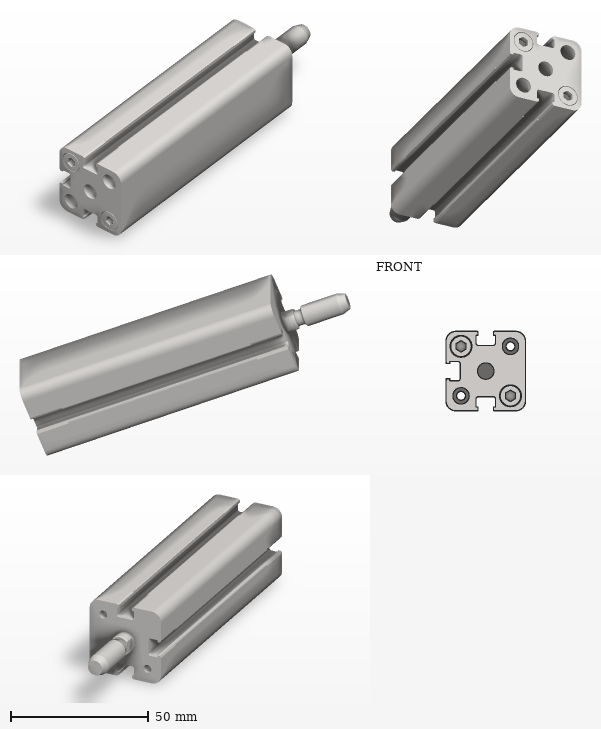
import cadquery as cq

total_length = 122.5
body_length = 98.0
body_width = 29.0
corner_radius = 3.7
cap_length = 12.2
barrel_length = body_length - 2 * cap_length
half_width = body_width / 2

slot_mouth_width = 5.5
slot_channel_width = 7.0
slot_depth = 5.1
slot_lip_thickness = 1.5
slot_floor_radius = 0.7
cap_lip_bevel_width = 0.7
cap_lip_bevel_height = 0.4
barrel_lip_bevel_width = 0.4
barrel_lip_bevel_height = 0.1
slot_angles = (0, 90, 180)

corner_spacing = 18.0
corner_offset = corner_spacing / 2
hole_diameter = 6.0
hole_depth = 9.8
through_diameter = 3.2
screw_head_diameter = 7.5
screw_recess_diameter = 8.0
screw_recess_depth = 3.5
hex_corner_diameter = 4.2
hex_depth = 2.5
hole_corners = [(corner_offset, corner_offset), (-corner_offset, -corner_offset)]
screw_corners = [(-corner_offset, corner_offset), (corner_offset, -corner_offset)]

center_hole_diameter = 6.0
center_hole_depth = 9.8

rod_diameter = 8.0
neck_diameter = 5.8
shoulder_end = 102.5
shoulder_taper_length = 0.5
shoulder_taper_depth = 0.18
thread_start = 105.0
thread_start_chamfer = 0.7
tip_diameter = 5.9
tip_length = 3.1
flat_width = 6.0
flat_ramp = (rod_diameter - flat_width) / 2
rod_embed = 1.2


def front_plane(y):
    """Sketch plane at the given Y: local x is X, local y is Z, normal is -Y."""
    return cq.Workplane("XZ", origin=(0, y, 0))


def slot_cutter(start, length, bevel_width, bevel_height):
    """Slot with bevelled lips in the +Z side, running along Y from start."""
    mouth = slot_mouth_width / 2
    channel = slot_channel_width / 2
    floor = half_width - slot_depth
    lip = half_width - slot_lip_thickness
    straight = floor + slot_floor_radius
    flat = channel - slot_floor_radius
    bevel_edge = mouth + bevel_width
    bevel_bottom = half_width - bevel_height
    return (
        front_plane(start)
        .moveTo(-flat, floor)
        .lineTo(flat, floor)
        .radiusArc((channel, straight), -slot_floor_radius)
        .lineTo(channel, lip)
        .lineTo(mouth, lip)
        .lineTo(mouth, bevel_bottom)
        .lineTo(bevel_edge, half_width)
        .lineTo(-bevel_edge, half_width)
        .lineTo(-mouth, bevel_bottom)
        .lineTo(-mouth, lip)
        .lineTo(-channel, lip)
        .lineTo(-channel, straight)
        .radiusArc((-flat, floor), -slot_floor_radius)
        .close()
        .extrude(-length)
    )


def body_section(start, length, bevel_width, bevel_height):
    """Rounded square length of the body with slots in three sides."""
    section = (
        front_plane(start)
        .rect(body_width, body_width)
        .extrude(-length)
        .edges("|Y")
        .fillet(corner_radius)
    )
    slot = slot_cutter(start, length, bevel_width, bevel_height)
    for angle in slot_angles:
        section = section.cut(slot.rotate((0, 0, 0), (0, 1, 0), -angle))
    return section


def make_cap(start):
    """End cap, with wide bevels on the slot lips."""
    return body_section(start, cap_length, cap_lip_bevel_width, cap_lip_bevel_height)


def make_barrel():
    """Middle length of the body, with fine bevels on the slot lips."""
    return body_section(cap_length, barrel_length, barrel_lip_bevel_width, barrel_lip_bevel_height)


def make_rod():
    """Turned rod with a threaded end, a relief neck and two wrench flats."""
    radius = rod_diameter / 2
    neck = neck_diameter / 2
    rod = (
        cq.Workplane("XY")
        .moveTo(0, body_length - rod_embed)
        .lineTo(radius, body_length - rod_embed)
        .lineTo(radius, shoulder_end - shoulder_taper_length)
        .lineTo(radius - shoulder_taper_depth, shoulder_end)
        .lineTo(neck, shoulder_end)
        .lineTo(neck, thread_start)
        .lineTo(radius, thread_start + thread_start_chamfer)
        .lineTo(radius, total_length - tip_length)
        .lineTo(tip_diameter / 2, total_length)
        .lineTo(0, total_length)
        .close()
        .revolve(360, (0, 0, 0), (0, 1, 0))
    )
    flat = flat_width / 2
    flat_cutter = (
        cq.Workplane("XY")
        .moveTo(radius, body_length)
        .lineTo(flat, body_length + flat_ramp)
        .lineTo(flat, shoulder_end)
        .lineTo(radius, shoulder_end)
        .close()
        .extrude(radius, both=True)
    )
    return rod.cut(flat_cutter).cut(flat_cutter.mirror("YZ"))


def drill(part, points, diameter, depth):
    """Cut round holes into the front face."""
    cutter = front_plane(0).pushPoints(points).circle(diameter / 2).extrude(-depth)
    return part.cut(cutter, clean=False)


front_cap = make_cap(0)
barrel = make_barrel()
rear_cap = make_cap(body_length - cap_length)

result = front_cap.union(barrel, clean=False).union(rear_cap, clean=False)
result = result.union(make_rod(), clean=False)

result = drill(result, hole_corners, hole_diameter, hole_depth)
result = drill(result, hole_corners, through_diameter, body_length)
result = drill(result, [(0, 0)], center_hole_diameter, center_hole_depth)

screw_gap = (
    front_plane(0)
    .pushPoints(screw_corners)
    .circle(screw_recess_diameter / 2)
    .circle(screw_head_diameter / 2)
    .extrude(-screw_recess_depth)
)
hex_sockets = (
    front_plane(0)
    .transformed(rotate=(0, 0, 90))
    .pushPoints([(z, -x) for x, z in screw_corners])
    .polygon(6, hex_corner_diameter)
    .extrude(-hex_depth)
)
result = result.cut(screw_gap, clean=False).cut(hex_sockets, clean=False)